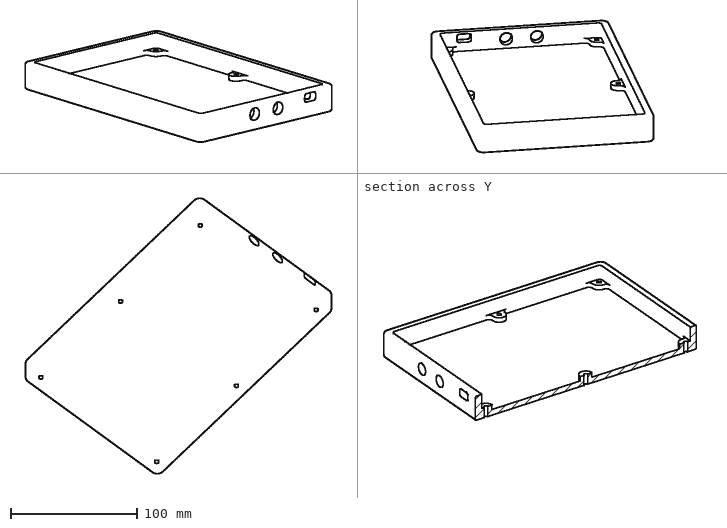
import cadquery as cq

LENGTH = 213.0
WIDTH = 143.0
HEIGHT = 22.0
WALL = 6.5
FLOOR = 5.5
CORNER_RADIUS = 6.0
CAVITY_CORNER_RADIUS = 2.5
EDGE_ROUND = 2.0

CAVITY_LENGTH = LENGTH - 2 * WALL
CAVITY_WIDTH = WIDTH - 2 * WALL

BOSS_RADIUS = 5.85
BOSS_HEIGHT = 4.0
BOSS_INSET = 4.0
BOSS_FLARE_RADIUS = 3.5
BOSS_HOLE_DIAMETER = 3.2
BOSS_X = CAVITY_LENGTH / 2 - BOSS_INSET
BOSS_Y = CAVITY_WIDTH / 2 - BOSS_INSET

PORT_DIAMETER = 10.0
PORT_Z = 13.5
PORT_Y_POSITIONS = (-13.5, 11.25)
WINDOW_Y = 45.2
WINDOW_Z = 16.5
WINDOW_WIDTH = 11.5
WINDOW_HEIGHT = 7.0
WINDOW_CORNER_RADIUS = 2.0

OVERLAP = 1.0


def rounded_block(length, width, height, radius):
    """Block standing on z = 0 with rounded vertical corners."""
    block = cq.Workplane("XY").box(length, width, height, centered=(True, True, False))
    return block.edges("|Z").fillet(radius)


def tray():
    """Open box with rounded outer top and bottom edges."""
    body = rounded_block(LENGTH, WIDTH, HEIGHT, CORNER_RADIUS)
    body = body.faces("<Z or >Z").edges().fillet(EDGE_ROUND)
    cavity = rounded_block(CAVITY_LENGTH, CAVITY_WIDTH, HEIGHT, CAVITY_CORNER_RADIUS)
    return body.cut(cavity.translate((0, 0, FLOOR)))


def boss_foot():
    """Pad joining a boss on the Z axis to a wall on its -Y side, blended by arcs tangent to both."""
    wall_y = -BOSS_INSET
    flare_y = wall_y + BOSS_FLARE_RADIUS
    flare_x = BOSS_RADIUS + BOSS_FLARE_RADIUS
    outline = (
        cq.Workplane("XY")
        .moveTo(-flare_x, wall_y - OVERLAP)
        .lineTo(-flare_x, wall_y)
        .radiusArc((-BOSS_RADIUS, flare_y), -BOSS_FLARE_RADIUS)
        .lineTo(-BOSS_RADIUS, 0)
        .lineTo(BOSS_RADIUS, 0)
        .lineTo(BOSS_RADIUS, flare_y)
        .radiusArc((flare_x, wall_y), -BOSS_FLARE_RADIUS)
        .lineTo(flare_x, wall_y - OVERLAP)
        .close()
    )
    return outline.extrude(BOSS_HEIGHT)


def boss(wall_angles):
    """Round boss on the Z axis with a foot toward each wall; angles are turns from the -Y side."""
    body = cq.Workplane("XY").circle(BOSS_RADIUS).extrude(BOSS_HEIGHT)
    for angle in wall_angles:
        body = body.union(boss_foot().rotate((0, 0, 0), (0, 0, 1), angle))
    return body


def add_bosses(body):
    """Add the six bosses and drill their holes through the floor."""
    toward_long_wall = {-1: 0, 1: 180}
    toward_end_wall = {-1: [-90], 0: [], 1: [90]}
    spots = []
    for side_x, end_angles in toward_end_wall.items():
        for side_y, long_angle in toward_long_wall.items():
            spot = (side_x * BOSS_X, side_y * BOSS_Y)
            spots.append(spot)
            body = body.union(boss([long_angle] + end_angles).translate((*spot, FLOOR)))
    holes = cq.Workplane("XY").pushPoints(spots).circle(BOSS_HOLE_DIAMETER / 2).extrude(HEIGHT)
    return body.cut(holes)


def cut_wall_openings(body):
    """Cut the two round ports and the rounded rectangular window through the +X wall."""
    inside_wall = cq.Workplane("YZ", origin=(CAVITY_LENGTH / 2 - OVERLAP, 0, 0))
    depth = WALL + 2 * OVERLAP
    port_centers = [(y, PORT_Z) for y in PORT_Y_POSITIONS]
    ports = inside_wall.pushPoints(port_centers).circle(PORT_DIAMETER / 2).extrude(depth)
    window = inside_wall.center(WINDOW_Y, WINDOW_Z).rect(WINDOW_WIDTH, WINDOW_HEIGHT).extrude(depth)
    window = window.edges("|X").fillet(WINDOW_CORNER_RADIUS)
    return body.cut(ports).cut(window)


result = cut_wall_openings(add_bosses(tray()))